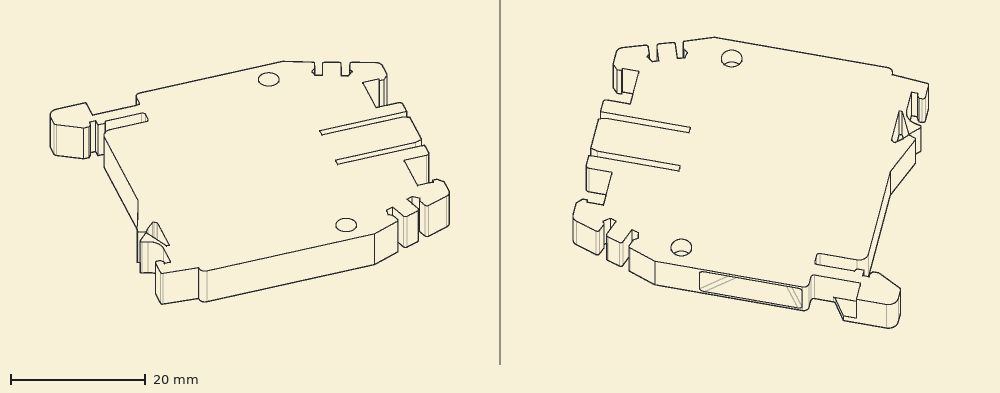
import cadquery as cq
import math


thickness = 6.0
half_width = 21.0
top_y = 44.45
shoulder_y = 30.75

tongue_half_width = 3.1
tongue_taper = 0.35
tongue_taper_length = 1.1
slot_outer_x = 4.1
pocket_inner_x = 6.4
pocket_outer_x = 12.5
pocket_floor_y = 40.4
catch_x = 12.1
catch_y = 42.9

step_y = 7.45
leg_left_x = -18.5
leg_right_x = -16.5
leg_gap_right_x = -14.45
foot_left_x = -21.5
foot_bottom_y = -6.05
rail_groove_y = -0.95
rail_lip_y = -1.35
jaw_bottom_y = -2.2
lip_bevel = 0.5
foot_lip_x = -16.05
foot_groove_x = -17.05
jaw_lip_x = 16.45
jaw_groove_x = 17.3
leg_root_round = 0.45

wedge_height = 1.2
wedge_top_y = 3.95
wedge_root_y = 4.55
wedge_outer_y = 1.95
wedge_root_round = 0.4

flap_slit_gap = 0.075
flap_tip = (9.7, -1.25)
flap_void_right_x = 13.6
flap_void_top_y = 1.05

peg_hole_diameter = 3.1
peg_hole_x = 17.75
peg_hole_y = 27.4
peg_hole_depth = thickness / 2

window_wall = 0.5
window_upper_y = 23.95
window_floor_upper_y = 17.55
window_floor_lower_y = 12.25
window_lower_y = 8.4
window_depth = 5.5
window_round = 0.5


def rounded_outline(corners):
    """Closed wire through (x, y, radius) corners, each rounded by a tangent arc."""
    spans = []
    for i, (x, y, radius) in enumerate(corners):
        here = cq.Vector(x, y)
        if radius == 0:
            spans.append((here, None, here))
            continue
        before = (cq.Vector(*corners[i - 1][:2]) - here).normalized()
        after = (cq.Vector(*corners[(i + 1) % len(corners)][:2]) - here).normalized()
        half_angle = before.getAngle(after) / 2
        setback = radius / math.tan(half_angle)
        bisector = (before + after).normalized()
        middle = here + bisector * (radius / math.sin(half_angle) - radius)
        spans.append((here + before * setback, middle, here + after * setback))

    path = cq.Workplane("XY").moveTo(*spans[0][2].toTuple()[:2])
    for start, middle, end in spans[1:] + spans[:1]:
        path = path.lineTo(*start.toTuple()[:2])
        if middle is not None:
            path = path.threePointArc(middle.toTuple()[:2], end.toTuple()[:2])
    return path.close()


def mirrored(corners):
    return [(-x, y, radius) for x, y, radius in reversed(corners)]


top_left_corners = [
    (-half_width, shoulder_y, 0),
    (-19.3, 35.15, 0.3),
    (-17.95, 34.75, 0),
    (-17.4, 34.1, 0),
    (-16.4, 34.25, 0),
    (-16.05, 35.3, 0),
    (-18.9, 36.25, 0.35),
    (-18.0, 38.9, 0.4),
    (-15.05, 37.95, 0),
    (-14.7, 38.85, 0),
    (-15.45, 39.8, 0),
    (-15.95, 39.55, 0),
    (-17.55, 40.1, 0.4),
    (-16.0, top_y, 1.15),
    (-13.05, top_y, 0.3),
    (-catch_x, 43.65, 0),
    (-catch_x, catch_y, 0),
    (-pocket_outer_x, catch_y, 0),
    (-pocket_outer_x, pocket_floor_y, 0),
    (-pocket_inner_x, pocket_floor_y, 0),
    (-pocket_inner_x, top_y, 0.5),
    (-slot_outer_x, top_y, 0),
    (-slot_outer_x, shoulder_y, 0),
    (-tongue_half_width, shoulder_y, 0),
    (-tongue_half_width, top_y - tongue_taper_length, 0),
    (-tongue_half_width + tongue_taper, top_y, 0),
]

jaw_corners = [
    (half_width, 3.55, 0.9),
    (19.9, 3.5, 0),
    (19.4, jaw_bottom_y, 0.3),
    (jaw_lip_x, jaw_bottom_y, 0.4),
    (jaw_lip_x, rail_lip_y, 0),
    (jaw_lip_x + lip_bevel, rail_groove_y, 0),
    (jaw_groove_x, rail_groove_y, 0),
    (jaw_groove_x, 0, 0),
    (12.25, 0, 2.25),
    (11.5, -3.0, 0.25),
    (*flap_tip, 0),
    (flap_void_right_x, 0.6, 0),
    (flap_void_right_x, flap_void_top_y, 0),
    (8.2, flap_void_top_y, 0.2),
    (7.75, 0.5, 0.15),
    (8.85, -0.65, 0),
    (flap_tip[0] - flap_slit_gap, flap_tip[1], 0),
    (9.1, -2.45, 0.15),
    (2.4, 0, 0),
]

leg_corners = [
    (leg_gap_right_x, 0, 1.4),
    (leg_gap_right_x, step_y, leg_root_round),
    (leg_right_x, step_y, leg_root_round),
    (leg_right_x, 1.35, 0),
    (foot_lip_x, 1.1, 0),
    (foot_lip_x, 0, 0),
    (foot_groove_x, 0, 0),
    (foot_groove_x, rail_groove_y, 0),
    (foot_lip_x - lip_bevel, rail_groove_y, 0),
    (foot_lip_x, rail_lip_y, 0),
    (foot_lip_x, jaw_bottom_y, 0),
    (-18.25, foot_bottom_y, 0.5),
    (foot_left_x, foot_bottom_y, 1.5),
    (foot_left_x, 0, 0),
    (leg_left_x, 0, 0),
    (leg_left_x, step_y, leg_root_round),
    (-half_width, step_y, 0.8),
]


def housing_plate():
    corners = top_left_corners + mirrored(top_left_corners) + jaw_corners + leg_corners
    return rounded_outline(corners).extrude(thickness)


def foot_wedge():
    """Low wedge filling the corner between the leg and the top of the foot."""
    return rounded_outline([
        (leg_right_x, 0, 0),
        (leg_right_x, wedge_root_y, 0),
        (leg_left_x, wedge_root_y, 0),
        (leg_left_x, wedge_top_y, wedge_root_round),
        (foot_left_x, wedge_outer_y, 0),
        (foot_left_x, 0, 0),
    ]).extrude(wedge_height)


def peg_holes():
    return (
        cq.Workplane("XY", origin=(0, 0, thickness - peg_hole_depth))
        .pushPoints([(-peg_hole_x, peg_hole_y), (peg_hole_x, peg_hole_y)])
        .circle(peg_hole_diameter / 2)
        .extrude(peg_hole_depth)
    )


def side_window():
    """Pocket with two sloping ends, rounded where the slopes meet the side walls."""
    floor_x = -half_width + window_depth
    cutter = (
        cq.Workplane("XY", origin=(0, 0, window_wall))
        .polyline([
            (-half_width, window_upper_y),
            (floor_x, window_floor_upper_y),
            (floor_x, window_floor_lower_y),
            (-half_width, window_lower_y),
        ])
        .close()
        .extrude(thickness - 2 * window_wall)
    )
    slope_edges = cutter.faces("|Z").edges("not(|Y)")
    return cutter.newObject(slope_edges.vals()).fillet(window_round)


result = housing_plate().union(foot_wedge()).cut(peg_holes()).cut(side_window())